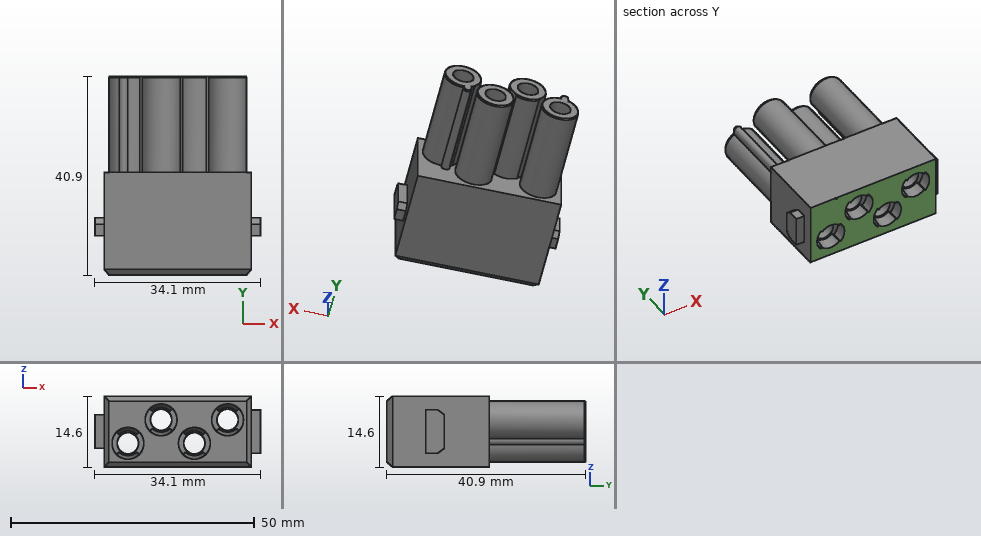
import cadquery as cq
import math

overall_width = 34.1
overall_length = 40.9
front = -overall_length / 2
rear = overall_length / 2

block_width = 30.3
block_height = 14.6
block_length = 21.1
block_rear = front + block_length
bevel_side = 1.02
bevel_depth = 1.2

left_tab_height = 6.9
right_tab_height = 8.95
tab_length = 3.72
tab_front = front + 8.05
tab_chamfer_length = 1.3
tab_chamfer_height = 1.0

tube_count = 4
tube_pitch = 6.85
row_offset = 2.4
tube_radius = 3.9
rear_edge_length = 0.33
rear_edge_inset = 0.12
flat_distance = 3.72

rib_radius = 0.85
rib_side_offset = -0.95
rib_reach = 4.25

entry_radius = 3.27
pocket_depth = 8.2
guide_start = 3.05
guide_end_radius = 2.55
through_radius = 2.15

overlap = 0.4

tube_centers = [
    ((i - (tube_count - 1) / 2) * tube_pitch, row_offset if i % 2 else -row_offset)
    for i in range(tube_count)
]


def cross_section(y):
    """XZ workplane at the given Y; positive extrusion goes toward the front."""
    return cq.Workplane("XZ", origin=(0, y, 0))


def cone(radius_near, radius_far, y_near, y_far):
    """Cone around the Y axis, widest at its front end y_near."""
    profile = [(0, y_near), (radius_near, y_near), (radius_far, y_far), (0, y_far)]
    return cq.Workplane("XY").polyline(profile).close().revolve(360, (0, 0, 0), (0, 1, 0))


def block():
    body = cross_section(block_rear).rect(block_width, block_height).extrude(block_length)
    return body.faces("<Y").chamfer(bevel_depth, bevel_side)


def tab(side, height):
    """Tab on one end (side is -1 or +1) with its two rear corners chamfered."""
    x_inner = block_width / 2 - overlap
    x_outer = overall_width / 2
    tab_rear = tab_front + tab_length
    shape = (
        cross_section(tab_rear)
        .center(side * (x_inner + x_outer) / 2, 0)
        .rect(x_outer - x_inner, height)
        .extrude(tab_length)
    )
    return shape.faces(">Y").edges("|X").chamfer(tab_chamfer_length, tab_chamfer_height)


def tube(x, z, neighbours):
    """Tube with a chamfered rear edge and a flat facing each neighbouring tube."""
    tube_length = rear - block_rear + overlap
    shape = cross_section(rear).circle(tube_radius).extrude(tube_length)
    shape = shape.faces(">Y").chamfer(rear_edge_length, rear_edge_inset)
    flat_cutter = cross_section(rear).center(flat_distance + tube_radius / 2, 0)
    flat_cutter = flat_cutter.rect(tube_radius, 2 * tube_radius).extrude(tube_length)
    for x_other, z_other in neighbours:
        angle = math.degrees(math.atan2(z_other - z, x_other - x))
        shape = shape.cut(flat_cutter.rotate((0, 0, 0), (0, 1, 0), -angle))
    return shape.translate((x, 0, z))


def rib(x, z, direction):
    """Rib standing up (direction +1) or hanging down (-1) from a tube, its rear edge chamfered."""
    rib_length = rear - block_rear + overlap
    rib_tip = rib_reach + rib_radius
    rib_height = rib_tip - through_radius
    center_z = z + direction * (rib_tip - rib_height / 2)
    profile = cross_section(rear).center(x + rib_side_offset, center_z)
    shape = profile.slot2D(rib_height, 2 * rib_radius, 90).extrude(rib_length)
    return shape.faces(">Y").chamfer(rear_edge_length, rear_edge_inset)


def contact_cavity():
    """Cavity around the Y axis, running through the whole part."""
    entry = cross_section(front + guide_start).circle(entry_radius).extrude(guide_start)
    floor_y = front + pocket_depth
    guide = cone(entry_radius, guide_end_radius, front + guide_start, floor_y)
    side_sectors = (
        cross_section(floor_y)
        .polyline([(0, 0), (entry_radius, entry_radius), (entry_radius, -entry_radius)])
        .close()
        .polyline([(0, 0), (-entry_radius, entry_radius), (-entry_radius, -entry_radius)])
        .close()
        .extrude(pocket_depth)
    )
    pockets = cross_section(floor_y).circle(entry_radius).extrude(pocket_depth).intersect(side_sectors)
    bore = cross_section(rear).circle(through_radius).extrude(overall_length)
    return bore.union(entry).union(guide).union(pockets)


result = block()
result = result.union(tab(-1, left_tab_height)).union(tab(1, right_tab_height))

for i, (x, z) in enumerate(tube_centers):
    neighbours = tube_centers[max(i - 1, 0):i] + tube_centers[i + 1:i + 2]
    result = result.union(tube(x, z, neighbours))

result = result.union(rib(*tube_centers[0], 1)).union(rib(*tube_centers[-1], -1))

cavity = contact_cavity()
for x, z in tube_centers:
    result = result.cut(cavity.translate((x, 0, z)))